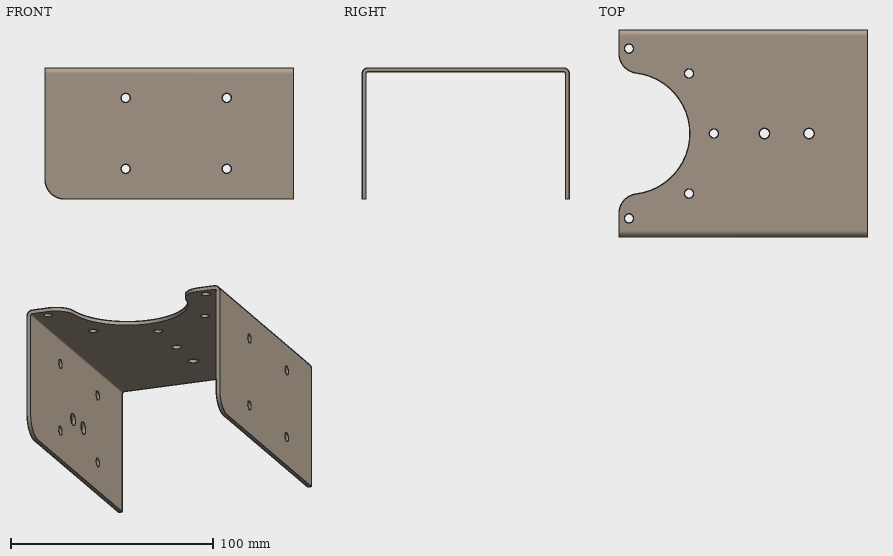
import cadquery as cq
import math

length = 123.0
width = 102.5
height = 65.0
sheet = 2.0
bend_outer_radius = 3.0
bend_inner_radius = bend_outer_radius - sheet
flange_corner_radius = 10.0

cutout_center_x = 5.0
cutout_radius = 30.0
cutout_blend_radius = 10.0
bolt_circle_radius = 42.0
bolt_angles = (-90, -45, 0, 45, 90)
bolt_hole_diameter = 4.4

plate_hole_diameter = 5.0
plate_hole_positions = (72.0, 94.0)

pattern_start_x = 40.0
pattern_start_z = 15.0
pattern_pitch_x = 49.9
pattern_pitch_z = 35.0
flange_hole_diameter = 4.4

large_hole_positions = (57.0, 70.6)
large_hole_z = 26.6
large_hole_diameter = 6.2


def channel(channel_width, channel_height, radius):
    """Solid bar along X with rounded upper edges, standing on Z = 0."""
    bar = cq.Workplane("XY").box(length, channel_width, channel_height, centered=(False, True, False))
    return bar.edges("|X and >Z").fillet(radius)


def folded_sheet():
    outside = channel(width, height, bend_outer_radius)
    inside = channel(width - 2 * sheet, height - sheet, bend_inner_radius)
    return outside.cut(inside).edges("|Y and <X and <Z").fillet(flange_corner_radius)


def edge_cutout():
    """Arc opening blended into the -X edge by a tangent arc on each side."""
    center_offset = cutout_blend_radius - cutout_center_x
    center_distance = cutout_radius + cutout_blend_radius
    blend_center_y = math.sqrt(center_distance**2 - center_offset**2)
    tangent_ratio = cutout_radius / center_distance
    tangent_x = cutout_center_x + tangent_ratio * center_offset
    tangent_y = tangent_ratio * blend_center_y

    tangent_angle = math.atan2(blend_center_y, center_offset)
    middle_angle = tangent_angle / 2
    middle_x = cutout_blend_radius * (1 - math.cos(middle_angle))
    middle_y = blend_center_y - cutout_blend_radius * math.sin(middle_angle)

    return (
        cq.Workplane("XY", origin=(0, 0, height - sheet))
        .moveTo(0, blend_center_y)
        .threePointArc((middle_x, middle_y), (tangent_x, tangent_y))
        .threePointArc((cutout_center_x + cutout_radius, 0), (tangent_x, -tangent_y))
        .threePointArc((middle_x, -middle_y), (0, -blend_center_y))
        .close()
        .extrude(sheet)
    )


def plate_holes(points, diameter):
    plane = cq.Workplane("XY", origin=(0, 0, height - sheet))
    return plane.pushPoints(points).circle(diameter / 2).extrude(sheet)


def flange_holes(points, diameter, start_y):
    """Cylinders along Y from start_y out through the +Y flange."""
    plane = cq.Workplane("XZ", origin=(0, start_y, 0))
    return plane.pushPoints(points).circle(diameter / 2).extrude(start_y - width / 2)


bolt_points = [
    (
        cutout_center_x + bolt_circle_radius * math.cos(math.radians(angle)),
        bolt_circle_radius * math.sin(math.radians(angle)),
    )
    for angle in bolt_angles
]
plate_points = [(x, 0) for x in plate_hole_positions]
large_hole_points = [(x, large_hole_z) for x in large_hole_positions]
pattern_points = [
    (pattern_start_x + column * pattern_pitch_x, pattern_start_z + row * pattern_pitch_z)
    for column in (0, 1)
    for row in (0, 1)
]

result = folded_sheet().cut(edge_cutout())
result = result.cut(plate_holes(bolt_points, bolt_hole_diameter))
result = result.cut(plate_holes(plate_points, plate_hole_diameter))
result = result.cut(flange_holes(pattern_points, flange_hole_diameter, -width / 2))
result = result.cut(flange_holes(large_hole_points, large_hole_diameter, width / 2 - sheet))